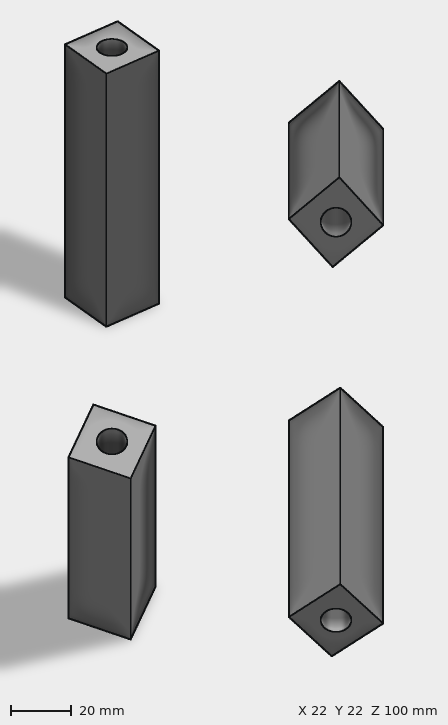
import cadquery as cq

side = 22.0
length = 100.0
bore_diameter = 10.0

bar = cq.Workplane("XY").rect(side, side).extrude(length)
result = bar.faces(">Z").workplane().hole(bore_diameter)